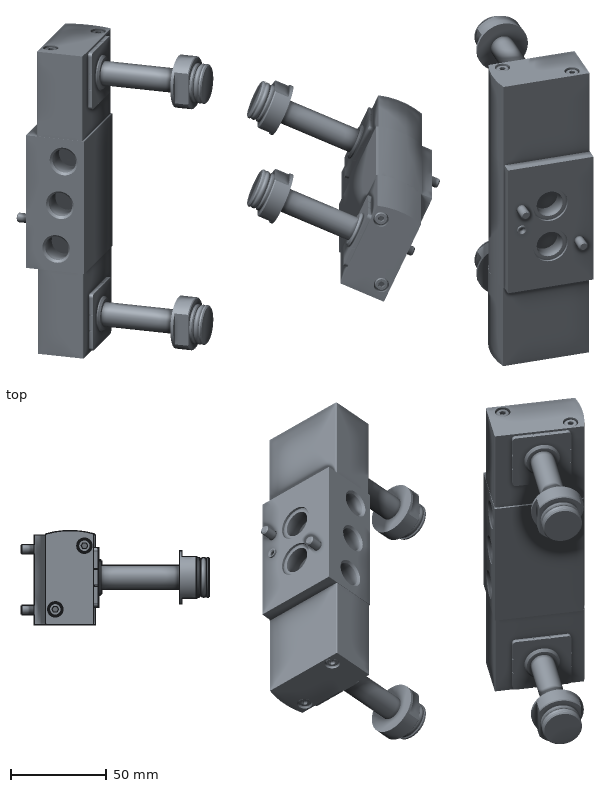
import cadquery as cq
import math

BODY_WIDTH = 32.3
BODY_DEPTH = 47.4
BODY_HEIGHT = 73.8
TOTAL_HEIGHT = 168.0

FRONT_PORT_DIAMETER = 13.0
FRONT_PORT_MOUTH = 15.3
FRONT_PORT_COUNTERSINK = 1.2
FRONT_PORT_DEPTH = 12.1
FRONT_PORT_X = 18.8
FRONT_PORT_X_STEP = 2.0
FRONT_PORT_PITCH = 24.5

PATTERN_Y = 23.9
PATTERN_HALF_Z = 12.1
SIDE_PORT_DIAMETER = 14.5
SIDE_PORT_DEPTH = 10.0
SEAL_RECESS_DIAMETER = 19.0
SEAL_RECESS_DEPTH = 1.3
SCREW_OFFSET_Y = 16.0
SCREW_DIAMETER = 5.0
SCREW_LENGTH = 7.0
SCREW_TIP_CHAMFER = 0.7
SCREW_CLEARANCE_DIAMETER = 5.5
SCREW_CLEARANCE_DEPTH = 1.7
PIN_DIAMETER = 5.0
PIN_PROTRUSION = 1.0
PIN_SEAT_DEPTH = 5.0
PIN_BORE_DIAMETER = 2.5
PIN_BORE_DEPTH = 2.5
PIN_COUNTERSINK = 0.7

PILOT_X = 6.0
LOWER_PILOT_SHIFT = 0.5
PILOT_WIDTH = 25.2
PILOT_FRONT_Y = 0.2
CROWN_SIDE_DEPTH = 47.9
CROWN_DEPTH = 49.7
CROWN_END_X = PILOT_X + PILOT_WIDTH
CROWN_MIDDLE_X = PILOT_X + PILOT_WIDTH / 2
PILOT_HEIGHT = (TOTAL_HEIGHT - BODY_HEIGHT) / 2
PILOT_EDGE_RADIUS = 0.5

CAP_SCREW_PLACES = [(20.3, 41.7), (5.0, 8.2)]
CAP_SCREW_POCKET = 8.0
CAP_SCREW_HEAD = 7.0
CAP_SCREW_POCKET_DEPTH = 4.0
CAP_SCREW_RECESS = 0.7
CAP_SCREW_HEAD_CHAMFER = 0.5
CAP_SCREW_SOCKET_WIDTH = 3.0
CAP_SCREW_SOCKET_CORNERS = CAP_SCREW_SOCKET_WIDTH / math.cos(math.pi / 6)
CAP_SCREW_SOCKET_DEPTH = 2.0

TUBE_Y = 25.0
TUBE_Z = 67.0
FLANGE_SIZE = 31.5
FLANGE_THICKNESS = 2.2
FLANGE_CORNER_RADIUS = 1.8
FLANGE_GROOVE_WIDTH = 0.7
FLANGE_GROOVE_DEPTH = 0.3
FLANGE_GROOVE_LENGTH = 1.7
FLANGE_GROOVE_OFFSET = 4.4
COLLAR_DIAMETER = 19.0
COLLAR_LENGTH = 3.9
COLLAR_CHAMFER = 1.0

TUBE_DIAMETER = 13.0
NUT_START = 76.3
FLAT_START = 77.8
NUT_END = 85.5
NUT_DIAMETER = 28.0
NUT_CHAMFER = 0.5
NUT_ACROSS_FLATS = 22.2
SPIGOT_DIAMETER = 21.0
SPIGOT_END = 92.2
SPIGOT_CHAMFER = 0.7
RING_CENTRE = 89.0
RING_SECTION_RADIUS = 1.5
RING_GROOVE_WIDTH = 3.4


def x_cylinder(diameter, start, end, y, z):
    """Cylinder along X from start to end."""
    return (
        cq.Workplane("YZ", origin=(start, y, z))
        .circle(diameter / 2)
        .extrude(end - start)
    )


def y_port(x, z):
    """Cutter for one countersunk port in the front face."""
    bore = FRONT_PORT_DIAMETER / 2
    profile = [
        (0, 0),
        (FRONT_PORT_MOUTH / 2, 0),
        (bore, FRONT_PORT_COUNTERSINK),
        (bore, FRONT_PORT_DEPTH),
        (0, FRONT_PORT_DEPTH),
    ]
    cutter = cq.Workplane("XY").polyline(profile).close().revolve(360, (0, 0), (0, 1))
    return cutter.translate((x, 0, z))


def make_valve_body():
    body = (
        cq.Workplane("XY", origin=(0, 0, -BODY_HEIGHT / 2))
        .lineTo(BODY_WIDTH, 0)
        .lineTo(BODY_WIDTH, BODY_DEPTH)
        .lineTo(CROWN_END_X, CROWN_SIDE_DEPTH)
        .threePointArc((CROWN_MIDDLE_X, CROWN_DEPTH), (PILOT_X, CROWN_SIDE_DEPTH))
        .lineTo(PILOT_X, BODY_DEPTH)
        .lineTo(0, BODY_DEPTH)
        .close()
        .extrude(BODY_HEIGHT)
    )

    for step in (-1, 0, 1):
        body = body.cut(y_port(FRONT_PORT_X + step * FRONT_PORT_X_STEP, step * FRONT_PORT_PITCH))

    for side in (-1, 1):
        z = side * PATTERN_HALF_Z
        body = body.cut(x_cylinder(SEAL_RECESS_DIAMETER, 0, SEAL_RECESS_DEPTH, PATTERN_Y, z))
        body = body.cut(x_cylinder(SIDE_PORT_DIAMETER, 0, SIDE_PORT_DEPTH, PATTERN_Y, z))

        screw_y = PATTERN_Y + side * SCREW_OFFSET_Y
        body = body.cut(x_cylinder(SCREW_CLEARANCE_DIAMETER, 0, SCREW_CLEARANCE_DEPTH, screw_y, z))
        screw = x_cylinder(SCREW_DIAMETER, -SCREW_LENGTH, SCREW_CLEARANCE_DEPTH, screw_y, z)
        body = body.union(screw.faces("<X").chamfer(SCREW_TIP_CHAMFER))

    pin_y = PATTERN_Y + SCREW_OFFSET_Y
    return body.cut(x_cylinder(PIN_DIAMETER, 0, PIN_SEAT_DEPTH, pin_y, 0))


def make_locating_pin():
    pin_y = PATTERN_Y + SCREW_OFFSET_Y
    pin = x_cylinder(PIN_DIAMETER, -PIN_PROTRUSION, PIN_SEAT_DEPTH, pin_y, 0)
    bore = x_cylinder(PIN_BORE_DIAMETER, -PIN_PROTRUSION, PIN_BORE_DEPTH - PIN_PROTRUSION, pin_y, 0)
    bore_rim = cq.selectors.RadiusNthSelector(0)
    return pin.cut(bore).faces("<X").edges(bore_rim).chamfer(PIN_COUNTERSINK)


def make_pilot_block():
    """Upper pilot block with a crowned rear face and two sunk cap screws."""
    base_z = BODY_HEIGHT / 2
    top_z = base_z + PILOT_HEIGHT
    block = (
        cq.Workplane("XY", origin=(0, 0, base_z))
        .moveTo(PILOT_X, PILOT_FRONT_Y)
        .lineTo(CROWN_END_X, PILOT_FRONT_Y)
        .lineTo(CROWN_END_X, CROWN_SIDE_DEPTH)
        .threePointArc((CROWN_MIDDLE_X, CROWN_DEPTH), (PILOT_X, CROWN_SIDE_DEPTH))
        .close()
        .extrude(PILOT_HEIGHT)
        .faces("<Y")
        .edges("|Z")
        .fillet(PILOT_EDGE_RADIUS)
    )
    for x, y in CAP_SCREW_PLACES:
        mouth = cq.Workplane("XY", origin=(PILOT_X + x, y, top_z))
        pocket = mouth.circle(CAP_SCREW_POCKET / 2).extrude(-CAP_SCREW_POCKET_DEPTH)
        head_top = mouth.workplane(offset=-CAP_SCREW_RECESS)
        head = (
            head_top.circle(CAP_SCREW_HEAD / 2)
            .extrude(CAP_SCREW_RECESS - CAP_SCREW_POCKET_DEPTH)
            .faces(">Z")
            .chamfer(CAP_SCREW_HEAD_CHAMFER)
        )
        socket = head_top.polygon(6, CAP_SCREW_SOCKET_CORNERS).extrude(-CAP_SCREW_SOCKET_DEPTH)
        block = block.cut(pocket).union(head.cut(socket))
    return block


def make_flange(side_x):
    """Square flange with small grooves in its rim, and the round collar on it."""
    flange = (
        cq.Workplane("YZ", origin=(side_x, TUBE_Y, TUBE_Z))
        .rect(FLANGE_SIZE, FLANGE_SIZE)
        .extrude(FLANGE_THICKNESS)
        .edges("|X")
        .fillet(FLANGE_CORNER_RADIUS)
    )
    half = FLANGE_SIZE / 2
    offset = FLANGE_GROOVE_OFFSET
    for sign in (-1, 1):
        grooves = (
            cq.Workplane("YZ", origin=(side_x + FLANGE_THICKNESS, TUBE_Y, TUBE_Z))
            .pushPoints([(-half, sign * offset), (half, sign * offset)])
            .rect(2 * FLANGE_GROOVE_DEPTH, FLANGE_GROOVE_WIDTH)
            .pushPoints([(sign * offset, -half), (sign * offset, half)])
            .rect(FLANGE_GROOVE_WIDTH, 2 * FLANGE_GROOVE_DEPTH)
            .extrude(-FLANGE_GROOVE_LENGTH)
        )
        flange = flange.cut(grooves)

    collar = x_cylinder(COLLAR_DIAMETER, side_x, side_x + COLLAR_LENGTH, TUBE_Y, TUBE_Z)
    return flange.union(collar.faces(">X").chamfer(COLLAR_CHAMFER))


def make_nut():
    """Round nut with two flats facing -Y and +Y."""
    nut = x_cylinder(NUT_DIAMETER, NUT_START, NUT_END, TUBE_Y, TUBE_Z)
    nut = nut.faces(">X").chamfer(NUT_CHAMFER)
    cut_depth = (NUT_DIAMETER - NUT_ACROSS_FLATS) / 2
    for side in (-1, 1):
        flat_cutter = cq.Workplane("XY").box(
            NUT_END - FLAT_START, cut_depth, NUT_DIAMETER, centered=(False, True, True)
        )
        y = TUBE_Y + side * (NUT_ACROSS_FLATS + cut_depth) / 2
        nut = nut.cut(flat_cutter.translate((FLAT_START, y, TUBE_Z)))
    return nut


def make_spigot():
    """Turned spigot beyond the nut with a sealing ring bulging from its groove."""
    radius = SPIGOT_DIAMETER / 2
    floor_radius = radius - RING_SECTION_RADIUS
    edge_radius = radius - SPIGOT_CHAMFER
    groove_start = RING_CENTRE - RING_GROOVE_WIDTH / 2
    groove_end = RING_CENTRE + RING_GROOVE_WIDTH / 2
    profile = (
        cq.Workplane("XY")
        .moveTo(NUT_END, 0)
        .lineTo(NUT_END, radius)
        .lineTo(groove_start - SPIGOT_CHAMFER, radius)
        .lineTo(groove_start, edge_radius)
        .lineTo(groove_start, floor_radius)
        .lineTo(RING_CENTRE - RING_SECTION_RADIUS, floor_radius)
        .threePointArc((RING_CENTRE, radius), (RING_CENTRE + RING_SECTION_RADIUS, floor_radius))
        .lineTo(groove_end, floor_radius)
        .lineTo(groove_end, radius)
        .lineTo(SPIGOT_END - SPIGOT_CHAMFER, radius)
        .lineTo(SPIGOT_END, edge_radius)
        .lineTo(SPIGOT_END, 0)
        .close()
    )
    return profile.revolve(360, (0, 0), (1, 0)).translate((0, TUBE_Y, TUBE_Z))


def make_pilot(block_shift):
    """Upper pilot, with its block and flange moved along X by block_shift."""
    block = make_pilot_block().union(make_flange(CROWN_END_X))
    tube = x_cylinder(TUBE_DIAMETER, CROWN_END_X, NUT_END, TUBE_Y, TUBE_Z)
    block = block.translate((block_shift, 0, 0))
    return block.union(tube).union(make_nut()).union(make_spigot())


valve_body = make_valve_body()
locating_pin = make_locating_pin()
upper_pilot = make_pilot(0)
lower_pilot = make_pilot(LOWER_PILOT_SHIFT).mirror("XY")

result = cq.Compound.makeCompound(
    [valve_body.val(), locating_pin.val(), upper_pilot.val(), lower_pilot.val()]
)